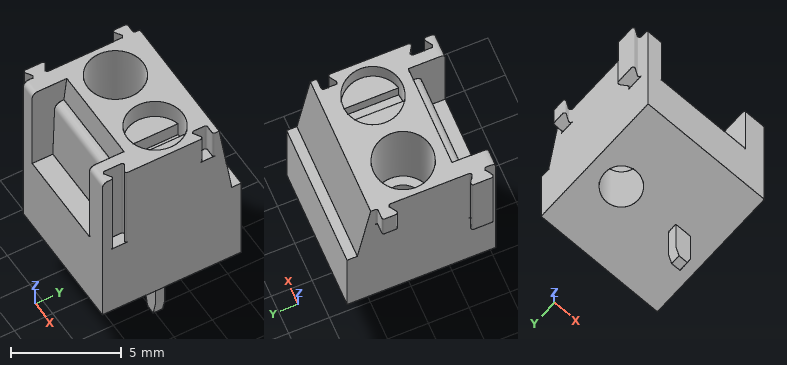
import cadquery as cq
import math


block_width = 7.0
block_depth = 7.3
block_height = 9.1
front_edge_radius = 0.3
ledge_height = 4.8
ledge_depth = 0.5
top_depth = 6.14

pitch = block_width / 2
wire_bore_x = pitch / 2
screw_bore_x = wire_bore_x + pitch
bore_y = 3.8
bore_diameter = 2.9
wire_hole_diameter = 2.0

pocket_left = 0.81
pocket_right = 5.86
pocket_floor = 4.28
pocket_floor_depth = 1.08
pocket_top_depth = 1.81
step_height = 7.71
step_inner_depth = 1.66
step_front_depth = 1.18
step_radius = 0.4
bore_floor = pocket_floor

rail_reach = 0.59
rail_radius = 0.1
flank_angle = 33
flank_run = rail_reach * math.tan(math.radians(flank_angle))
front_rail_y = (0.28, 1.52)
front_rail_floor = pocket_floor
rear_rail_y = (4.96, 5.81)
rear_rail_floor = 7.51
root_thickness = 0.25
root_margin = 0.38
selector_margin = 0.13

screw_recess = 1.05
screw_slot_width = 0.69
screw_slot_depth = 0.75

pin_width = 0.9
pin_thickness = 0.5
pin_length = 3.5
pin_tip_width = 0.5
pin_taper_length = 0.8


def side_prism(outline, x_start, x_end):
    """Extrude a (y, z) outline along X."""
    sketch = cq.Workplane("YZ").workplane(offset=x_start).polyline(outline).close()
    return sketch.extrude(x_end - x_start)


def vertical_cylinder(x, diameter, z_bottom, z_top):
    sketch = cq.Workplane("XY").workplane(offset=z_bottom).center(x, bore_y).circle(diameter / 2)
    return sketch.extrude(z_top - z_bottom)


def make_block():
    """Block with a sloped upper back above a ledge and a rounded top front edge."""
    outline = [
        (0, 0),
        (block_depth, 0),
        (block_depth, ledge_height),
        (block_depth - ledge_depth, ledge_height),
        (top_depth, block_height),
        (0, block_height),
    ]
    block = side_prism(outline, 0, block_width)
    return block.faces("<Y").edges(">Z").fillet(front_edge_radius)


def make_pocket():
    """Space in front of the stepped pocket wall, open to the front and the top."""
    outline = [
        (0, pocket_floor),
        (pocket_floor_depth, pocket_floor),
        (step_front_depth, step_height),
        (step_inner_depth, step_height),
        (pocket_top_depth, block_height),
        (0, block_height),
    ]
    pocket = side_prism(outline, pocket_left, pocket_right)
    nose = cq.selectors.NearestToPointSelector(
        ((pocket_left + pocket_right) / 2, step_front_depth, step_height)
    )
    return pocket.edges("|X").edges(nose).fillet(step_radius)


def make_rail(y_front, y_rear, floor, rear_flank):
    """Rail left of x = 0, with rounded outer corners and rounded neck corners.

    The front flank always undercuts the rail; the rear flank moves in by rear_flank.
    """
    y_low = y_front - root_margin
    y_high = y_rear + root_margin
    outline = [
        (root_thickness, y_low),
        (0, y_low),
        (0, y_front + flank_run),
        (-rail_reach, y_front),
        (-rail_reach, y_rear),
        (0, y_rear - rear_flank),
        (0, y_high),
        (root_thickness, y_high),
    ]
    rail = cq.Workplane("XY").workplane(offset=floor).polyline(outline).close()
    rail = rail.extrude(block_height - floor)
    rounded_zone = cq.selectors.BoxSelector(
        (-rail_reach - selector_margin, y_low + selector_margin, floor - selector_margin),
        (selector_margin, y_high - selector_margin, block_height + selector_margin),
    )
    rail = rail.edges("|Z").edges(rounded_zone).fillet(rail_radius)
    root = cq.Workplane("XY").box(root_thickness, block_depth * 2, block_height, centered=False)
    return rail.cut(root.translate((0, -block_depth / 2, 0)))


def make_housing():
    housing = make_block().cut(make_pocket())
    rails = [
        make_rail(*front_rail_y, front_rail_floor, flank_run),
        make_rail(*rear_rail_y, rear_rail_floor, 0),
    ]
    for rail in rails:
        housing = housing.union(rail).cut(rail.translate((block_width, 0, 0)))
    for bore_x in (wire_bore_x, screw_bore_x):
        housing = housing.cut(vertical_cylinder(bore_x, bore_diameter, bore_floor, block_height))
    return housing.cut(vertical_cylinder(wire_bore_x, wire_hole_diameter, 0, block_height))


def make_screw():
    """Round screw head filling its bore up to the recess, slotted along Y."""
    screw_top = block_height - screw_recess
    screw = vertical_cylinder(screw_bore_x, bore_diameter, bore_floor, screw_top)
    slot = cq.Workplane("XY").box(screw_slot_width, bore_diameter, screw_slot_depth)
    return screw.cut(slot.translate((screw_bore_x, bore_y, screw_top - screw_slot_depth / 2)))


def make_pin():
    """Flat pin below the housing, tapered in width at its tip."""
    half_width = pin_width / 2
    half_tip = pin_tip_width / 2
    taper_start = -pin_length + pin_taper_length
    outline = [
        (-half_width, 0),
        (-half_width, taper_start),
        (-half_tip, -pin_length),
        (half_tip, -pin_length),
        (half_width, taper_start),
        (half_width, 0),
    ]
    pin = cq.Workplane("XZ").polyline(outline).close().extrude(pin_thickness / 2, both=True)
    return pin.translate((screw_bore_x, bore_y, 0))


housing = make_housing()
screw = make_screw()
pin = make_pin()

result = cq.Compound.makeCompound([body.solids().val() for body in (housing, screw, pin)])